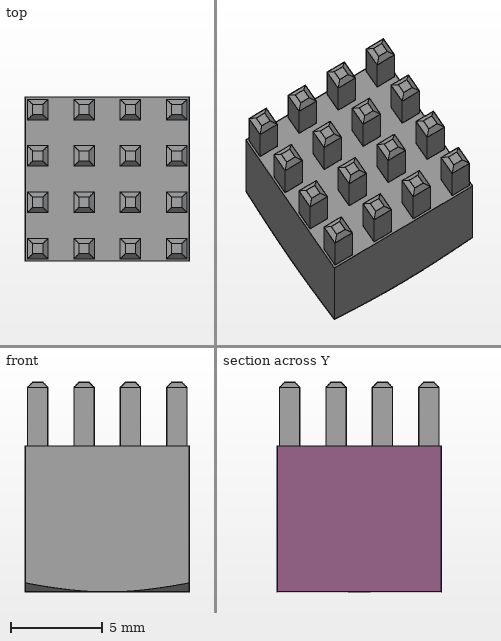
import cadquery as cq
import math

body_side = 9.0
body_height = 8.0
total_height = 11.5

relief_angle = 15.0

pins_per_side = 4
pin_pitch = 2.54
pin_side = 1.13
tip_chamfer = 0.29

pin_height = total_height - body_height
flat_radius = body_side / 2
relief_slope = math.tan(math.radians(relief_angle))
envelope_radius = body_side


def make_envelope():
    """Round solid whose lower end is a flat disc widening upward as a cone."""
    cone_top = (envelope_radius - flat_radius) * relief_slope
    profile = [
        (0, 0),
        (flat_radius, 0),
        (envelope_radius, cone_top),
        (envelope_radius, body_height),
        (0, body_height),
    ]
    return cq.Workplane("XZ").polyline(profile).close().revolve(360, (0, 0, 0), (0, 1, 0))


def make_body():
    """Square block with its lower corners relieved by the cone."""
    block = cq.Workplane("XY").rect(body_side, body_side).extrude(body_height)
    return block.intersect(make_envelope())


def make_pins():
    """Square grid of upright pins, each with a chamfered tip."""
    return (
        cq.Workplane("XY", origin=(0, 0, body_height))
        .rarray(pin_pitch, pin_pitch, pins_per_side, pins_per_side)
        .rect(pin_side, pin_side)
        .extrude(pin_height)
        .faces(">Z")
        .chamfer(tip_chamfer)
    )


result = make_body().union(make_pins())